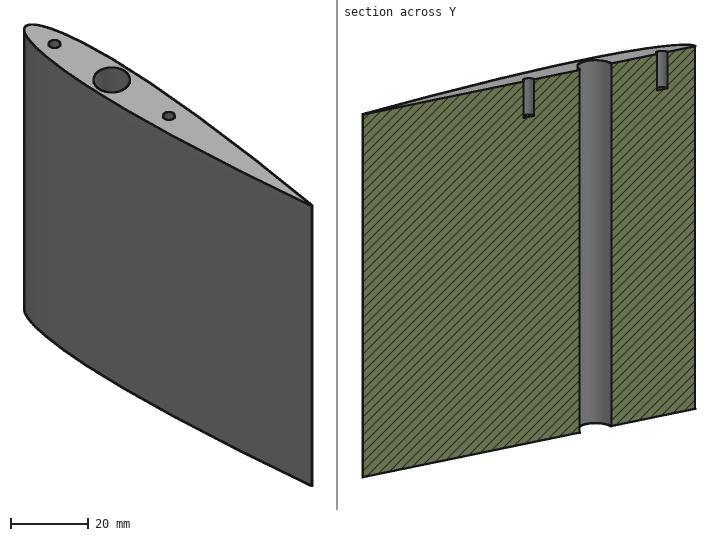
import cadquery as cq
import math

chord = 100.0
span = 100.0
thickness_ratio = 0.12
points_per_side = 40

spar_diameter = 9.4
spar_x = 0.3 * chord
pin_diameter = 3.0
pin_depth = 10.0
pin_offset = 0.2 * chord


def half_thickness(x):
    """NACA four-digit half thickness at distance x from the nose."""
    t = x / chord
    shape = 0.2969 * math.sqrt(t) - 0.126 * t - 0.3516 * t**2 + 0.2843 * t**3 - 0.1015 * t**4
    return 5 * thickness_ratio * chord * shape


def make_wing():
    """Extrude the aerofoil; its trailing edge is a narrow flat."""
    stations = [
        chord * (1 - math.cos(math.pi * i / points_per_side)) / 2
        for i in range(points_per_side + 1)
    ]
    upper = [(x, half_thickness(x)) for x in reversed(stations)]
    lower = [(x, -half_thickness(x)) for x in stations[1:]]
    return cq.Workplane("XY").spline(upper + lower).close().extrude(span)


def cut_spar_hole(body):
    """Spar hole through the whole span."""
    spar = cq.Workplane("XY").center(spar_x, 0).circle(spar_diameter / 2).extrude(span)
    return body.cut(spar)


def cut_pin_holes(body):
    """Blind pin holes in the top end, one on each side of the spar."""
    pins = (
        cq.Workplane("XY", origin=(0, 0, span - pin_depth))
        .pushPoints([(spar_x - pin_offset, 0), (spar_x + pin_offset, 0)])
        .circle(pin_diameter / 2)
        .extrude(pin_depth)
    )
    return body.cut(pins)


result = cut_pin_holes(cut_spar_hole(make_wing()))